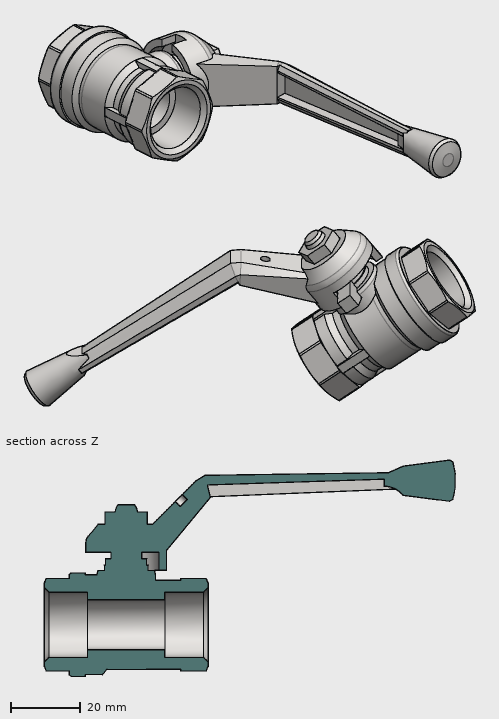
import cadquery as cq
import math


BODY_HALF_LENGTH = 23.7
OCTAGON_SIDES = 8
OCTAGON_ACROSS_FLATS = 25.0
OCTAGON_CORNER_RADIUS = 13.4
OCTAGON_FACE_RADIUS = 12.1
OCTAGON_END_BEVEL = 0.6
COLLAR_START_X = -16.5
COLLAR_STEP_X = -11.8
COLLAR_END_X = -6.8
COLLAR_RADIUS = 15.0
COLLAR_ROUNDING = 0.9
COLLAR_STEP_RADIUS = 14.5
GROOVE_START_X = -5.6
GROOVE_RADIUS = 12.9
BARREL_START_X = -4.3
BARREL_END_X = 5.9
BARREL_RADIUS = 13.0
WAIST_START_X = 7.7
WAIST_END_X = 10.0
WAIST_RADIUS = 11.3
SHOULDER_START_X = 12.1
SHOULDER_RADIUS = 12.4
OCTAGON_START_X = 15.7
RIB_WIDTH = 2.8
RIB_RADIUS = 12.9
RIB_COUNT = 4

PORT_RADIUS = 7.2
SOCKET_RADIUS = 9.4
SOCKET_MOUTH_RADIUS = 10.8
SOCKET_DEPTH = 12.5

NECK_RADIUS = 8.5
NECK_TOP_Y = 15.7
NECK_BEVEL_HEIGHT = 1.2
NECK_BEVEL_INSET = 0.3
GLAND_RADIUS = 6.0
GLAND_STEP_RADIUS = 6.4
GLAND_STEP_Y = 17.2
GLAND_TOP_Y = 19.1
STEM_RADIUS = 4.5
STEM_TIP_RADIUS = 3.3
STEM_TIP_MIDDLE_RADIUS = 3.0
STEM_TIP_MIDDLE_Y = 33.8
STEM_TIP_END_RADIUS = 2.4
STEM_TOP_Y = 34.7
LUG_WIDTH = 4.4
LUG_TIP_Z = -15.0
LUG_TIP_Y = 14.9
LUG_ROOT_Z = -6.0
LUG_ROOT_Y = 12.9

CAP_RADIUS = 11.7
CAP_TOP_RADIUS = 8.1
CAP_CONE_Y = 24.8
CAP_TOP_Y = 29.1
CAP_EDGE_ROUNDING = 3.0
CAP_INNER_RADIUS = 9.4
CAP_ROOF_Y = 20.9
CAP_SLOT_WIDTH = 4.6
NUT_SIDES = 6
NUT_CORNER_RADIUS = 6.15
NUT_TOP_Y = 32.6

ARM_ROOT_UNDER = (9.2, 18.5)
ARM_ROOT_UPPER = (6.0, 27.4)
ARM_END_UNDER = (24.3, 36.75)
ARM_END_UPPER = (20.2, 41.65)
KNEE_UNDER = (24.3, 36.95)
KNEE_UPPER = (22.8, 43.2)
BAR_END_UNDER = (79.0, 39.2)
BAR_END_UPPER = (79.0, 44.0)
ARM_ROOT_HALF_WIDTH = 6.9
ARM_ROOT_CREST_HALF_WIDTH = 5.2
ARM_ROOT_RIDGE = 0.9
KNEE_HALF_WIDTH = 6.0
KNEE_CREST_HALF_WIDTH = 3.8
ARM_END_RIDGE = 0.55
KNEE_RIDGE = 0.46
BAR_UNDER_BEVEL = 0.15
KNEE_UNDER_HALF_WIDTH = 4.5
BAR_END_HALF_WIDTH = 4.15
BAR_END_CREST_HALF_WIDTH = 2.0
BAR_END_UNDER_HALF_WIDTH = 3.0
CHANNEL_START_UNDER = (22.0, 36.4)
CHANNEL_START_FLOOR = (22.0, 40.3)
CHANNEL_END_UNDER = (80.0, 38.5)
CHANNEL_END_FLOOR = (80.0, 42.2)
CHANNEL_START_HALF_WIDTH = 4.0
CHANNEL_END_HALF_WIDTH = 2.0
ARM_HOLE_RADIUS = 1.4
ARM_HOLE_DEPTH = 2.0
ARM_HOLE_Y = 36.6

GRIP_AXIS_Y = 41.6
GRIP_NOSE_X = 74.5
GRIP_NOSE_RADIUS = 3.53
GRIP_NOSE_UPPER_Y = 43.4
GRIP_NOSE_UNDER_Y = 40.0
GRIP_NOSE_BEND = (77.7, 39.2)
GRIP_SHOULDER_X = 80.0
GRIP_SHOULDER_RADIUS = 4.25
GRIP_RIM_X = 93.4
GRIP_RADIUS = 6.0
GRIP_CROWN_X = 94.4
GRIP_CROWN_RADIUS = 5.4
GRIP_END_X = 95.05
GRIP_END_RADIUS = 2.0


def turned_about_x(profile, axis_y=0.0):
    """Revolve an (X, radius) outline about a line parallel to X."""
    start_x = profile[0][0]
    end_x = profile[-1][0]
    points = [(start_x, 0)] + profile + [(end_x, 0)]
    solid = cq.Workplane("XY").polyline(points).close().revolve(360, (0, 0), (1, 0))
    return solid.translate((0, axis_y, 0))


def turned_about_y(profile):
    """Revolve a (radius, Y) outline about the stem axis."""
    points = [(0, profile[0][1])] + profile + [(0, profile[-1][1])]
    return cq.Workplane("XY").polyline(points).close().revolve(360, (0, 0), (0, 1))


def stem_disc(radius, start_y, end_y):
    return turned_about_y([(radius, start_y), (radius, end_y)])


def block(x_range, y_range, z_range):
    """Axis-aligned box given by its limits along each axis."""
    sizes = [high - low for low, high in (x_range, y_range, z_range)]
    corner = (x_range[0], y_range[0], z_range[0])
    return cq.Workplane("XY").box(*sizes, centered=False).translate(corner)


def octagon_end(inner_x):
    """Right-hand spanner octagon, corners turned down and the outer rim bevelled."""
    length = BODY_HALF_LENGTH - inner_x
    corner_diameter = OCTAGON_ACROSS_FLATS / math.cos(math.pi / OCTAGON_SIDES)
    plane = cq.Workplane("YZ", origin=(inner_x, 0, 0))
    octagon = plane.polygon(OCTAGON_SIDES, corner_diameter).extrude(length)
    envelope = turned_about_x([
        (inner_x, OCTAGON_CORNER_RADIUS),
        (BODY_HALF_LENGTH - OCTAGON_END_BEVEL, OCTAGON_CORNER_RADIUS),
        (BODY_HALF_LENGTH, OCTAGON_FACE_RADIUS),
    ])
    return octagon.intersect(envelope)


def make_body():
    turned = turned_about_x([
        (COLLAR_START_X, COLLAR_STEP_RADIUS),
        (COLLAR_END_X, COLLAR_STEP_RADIUS),
        (GROOVE_START_X, GROOVE_RADIUS),
        (BARREL_START_X, BARREL_RADIUS),
        (BARREL_END_X, BARREL_RADIUS),
        (WAIST_START_X, WAIST_RADIUS),
        (WAIST_END_X, WAIST_RADIUS),
        (SHOULDER_START_X, SHOULDER_RADIUS),
        (OCTAGON_START_X, SHOULDER_RADIUS),
    ])
    collar = turned_about_x([(COLLAR_START_X, COLLAR_RADIUS), (COLLAR_STEP_X, COLLAR_RADIUS)])
    collar = collar.faces("<X").edges().fillet(COLLAR_ROUNDING)
    left_octagon = octagon_end(-COLLAR_START_X).mirror("YZ")
    body = turned.union(collar).union(left_octagon).union(octagon_end(OCTAGON_START_X))
    half_rib = RIB_WIDTH / 2
    rib = block((BARREL_END_X, OCTAGON_START_X), (0, RIB_RADIUS), (-half_rib, half_rib))
    for index in range(RIB_COUNT):
        angle = index * 360 / RIB_COUNT
        body = body.union(rib.rotate((0, 0, 0), (1, 0, 0), angle))
    return body


def make_bores():
    mouth_depth = SOCKET_MOUTH_RADIUS - SOCKET_RADIUS
    return turned_about_x([
        (-BODY_HALF_LENGTH, SOCKET_MOUTH_RADIUS),
        (-BODY_HALF_LENGTH + mouth_depth, SOCKET_RADIUS),
        (-BODY_HALF_LENGTH + SOCKET_DEPTH, SOCKET_RADIUS),
        (-BODY_HALF_LENGTH + SOCKET_DEPTH, PORT_RADIUS),
        (BODY_HALF_LENGTH - SOCKET_DEPTH, PORT_RADIUS),
        (BODY_HALF_LENGTH - SOCKET_DEPTH, SOCKET_RADIUS),
        (BODY_HALF_LENGTH - mouth_depth, SOCKET_RADIUS),
        (BODY_HALF_LENGTH, SOCKET_MOUTH_RADIUS),
    ])


def make_bonnet():
    """Neck, gland and stem turned as one, plus the stop lug on the -Z side."""
    turned = turned_about_y([
        (NECK_RADIUS, 0),
        (NECK_RADIUS, NECK_TOP_Y - NECK_BEVEL_HEIGHT),
        (NECK_RADIUS - NECK_BEVEL_INSET, NECK_TOP_Y),
        (GLAND_STEP_RADIUS, NECK_TOP_Y),
        (GLAND_STEP_RADIUS, GLAND_STEP_Y),
        (GLAND_RADIUS, GLAND_STEP_Y),
        (GLAND_RADIUS, GLAND_TOP_Y),
        (STEM_RADIUS, GLAND_TOP_Y),
        (STEM_RADIUS, NUT_TOP_Y),
        (STEM_TIP_RADIUS, NUT_TOP_Y),
        (STEM_TIP_MIDDLE_RADIUS, STEM_TIP_MIDDLE_Y),
        (STEM_TIP_END_RADIUS, STEM_TOP_Y),
    ])
    lug_outline = [
        (LUG_ROOT_Y, LUG_ROOT_Z),
        (GLAND_TOP_Y, 0),
        (GLAND_TOP_Y, LUG_TIP_Z),
        (LUG_TIP_Y, LUG_TIP_Z),
    ]
    lug = cq.Workplane("YZ").polyline(lug_outline).close().extrude(LUG_WIDTH / 2, both=True)
    return turned.union(lug)


def make_cap():
    cap = turned_about_y([
        (CAP_RADIUS, NECK_TOP_Y),
        (CAP_RADIUS, CAP_CONE_Y),
        (CAP_TOP_RADIUS, CAP_TOP_Y),
    ])
    cone_edge = cq.selectors.NearestToPointSelector((-CAP_RADIUS, CAP_CONE_Y, 0))
    return cap.edges(cone_edge).fillet(CAP_EDGE_ROUNDING)


def make_nut():
    height = NUT_TOP_Y - CAP_TOP_Y
    plane = cq.Workplane("XZ", origin=(0, CAP_TOP_Y, 0))
    return plane.polygon(NUT_SIDES, 2 * NUT_CORNER_RADIUS).extrude(-height)


def make_cap_openings():
    """Hollow of the skirt, the +Z slot, and the quarter that clears the stop lug."""
    skirt = (NECK_TOP_Y, CAP_ROOF_Y)
    half_slot = CAP_SLOT_WIDTH / 2
    hollow = stem_disc(CAP_INNER_RADIUS, *skirt)
    slot = block((-half_slot, half_slot), skirt, (0, CAP_RADIUS))
    quarter = block((-CAP_RADIUS, half_slot), skirt, (-CAP_RADIUS, half_slot))
    return hollow.union(slot).union(quarter)


def lever_section(under, upper, stations):
    """Symmetric section; each station is (fraction from under to upper, half width)."""
    def corner(fraction, z):
        x = under[0] + fraction * (upper[0] - under[0])
        y = under[1] + fraction * (upper[1] - under[1])
        return cq.Vector(x, y, z)

    rising = [corner(fraction, half_width) for fraction, half_width in stations]
    falling = [corner(fraction, -half_width) for fraction, half_width in reversed(stations)]
    return cq.Wire.makePolygon(rising + falling, close=True)


def loft(*sections):
    return cq.Workplane("XY").add(cq.Solid.makeLoft(list(sections), True))


def arm_section(under, upper, ridge, half_width, crest_half_width):
    """Square-bottomed section whose upper corners are bevelled above the ridge."""
    return lever_section(under, upper, [
        (0, half_width),
        (ridge, half_width),
        (1, crest_half_width),
    ])


def make_arm():
    """Sloping arm and the wedge that turns it into the bar at the knee."""
    root = arm_section(
        ARM_ROOT_UNDER, ARM_ROOT_UPPER, ARM_ROOT_RIDGE, ARM_ROOT_HALF_WIDTH, ARM_ROOT_CREST_HALF_WIDTH)
    arm_end = arm_section(
        ARM_END_UNDER, ARM_END_UPPER, ARM_END_RIDGE, KNEE_HALF_WIDTH, KNEE_CREST_HALF_WIDTH)
    knee = arm_section(
        KNEE_UNDER, KNEE_UPPER, KNEE_RIDGE, KNEE_HALF_WIDTH, KNEE_CREST_HALF_WIDTH)
    return loft(root, arm_end).union(loft(arm_end, knee)).cut(make_arm_hole())


def make_arm_hole():
    """Blind hole square to the sloping upper face of the arm."""
    run = ARM_END_UPPER[0] - ARM_ROOT_UPPER[0]
    rise = ARM_END_UPPER[1] - ARM_ROOT_UPPER[1]
    hole_x = ARM_ROOT_UPPER[0] + run * (ARM_HOLE_Y - ARM_ROOT_UPPER[1]) / rise
    plane = cq.Plane(origin=(hole_x, ARM_HOLE_Y, 0), xDir=(0, 0, 1), normal=(-rise, run, 0))
    return cq.Workplane(plane).circle(ARM_HOLE_RADIUS).extrude(ARM_HOLE_DEPTH, both=True)


def make_bar():
    """Tapering bar with a channel along its underside."""
    knee = lever_section(KNEE_UNDER, KNEE_UPPER, [
        (0, KNEE_UNDER_HALF_WIDTH),
        (BAR_UNDER_BEVEL, KNEE_HALF_WIDTH),
        (KNEE_RIDGE, KNEE_HALF_WIDTH),
        (1, KNEE_CREST_HALF_WIDTH),
    ])
    end = lever_section(BAR_END_UNDER, BAR_END_UPPER, [
        (0, BAR_END_UNDER_HALF_WIDTH),
        (BAR_UNDER_BEVEL, BAR_END_HALF_WIDTH),
        (KNEE_RIDGE, BAR_END_HALF_WIDTH),
        (1, BAR_END_CREST_HALF_WIDTH),
    ])
    channel_start = lever_section(CHANNEL_START_UNDER, CHANNEL_START_FLOOR, [
        (0, CHANNEL_START_HALF_WIDTH),
        (1, CHANNEL_START_HALF_WIDTH),
    ])
    channel_end = lever_section(CHANNEL_END_UNDER, CHANNEL_END_FLOOR, [
        (0, CHANNEL_END_HALF_WIDTH),
        (1, CHANNEL_END_HALF_WIDTH),
    ])
    return loft(knee, end).cut(loft(channel_start, channel_end))


def make_grip():
    """Conical grip whose nose is cut back above and below to run into the bar."""
    cone = turned_about_x([
        (GRIP_NOSE_X, GRIP_NOSE_RADIUS),
        (GRIP_RIM_X, GRIP_RADIUS),
        (GRIP_CROWN_X, GRIP_CROWN_RADIUS),
        (GRIP_END_X, GRIP_END_RADIUS),
    ], GRIP_AXIS_Y)
    upper_shoulder_y = GRIP_AXIS_Y + GRIP_SHOULDER_RADIUS
    under_shoulder_y = GRIP_AXIS_Y - GRIP_SHOULDER_RADIUS
    side_outline = (
        cq.Workplane("XY")
        .moveTo(GRIP_NOSE_X, GRIP_NOSE_UNDER_Y)
        .threePointArc(GRIP_NOSE_BEND, (GRIP_SHOULDER_X, under_shoulder_y))
        .lineTo(GRIP_SHOULDER_X, GRIP_AXIS_Y - GRIP_RADIUS)
        .lineTo(GRIP_END_X, GRIP_AXIS_Y - GRIP_RADIUS)
        .lineTo(GRIP_END_X, GRIP_AXIS_Y + GRIP_RADIUS)
        .lineTo(GRIP_SHOULDER_X, GRIP_AXIS_Y + GRIP_RADIUS)
        .lineTo(GRIP_SHOULDER_X, upper_shoulder_y)
        .lineTo(GRIP_NOSE_X, GRIP_NOSE_UPPER_Y)
        .close()
    )
    return cone.intersect(side_outline.extrude(GRIP_RADIUS, both=True))


lever = make_cap().union(make_arm()).cut(make_cap_openings())
lever = lever.union(make_bar()).union(make_grip())
result = make_body().union(make_bonnet()).cut(make_bores())
result = result.union(lever).union(make_nut())